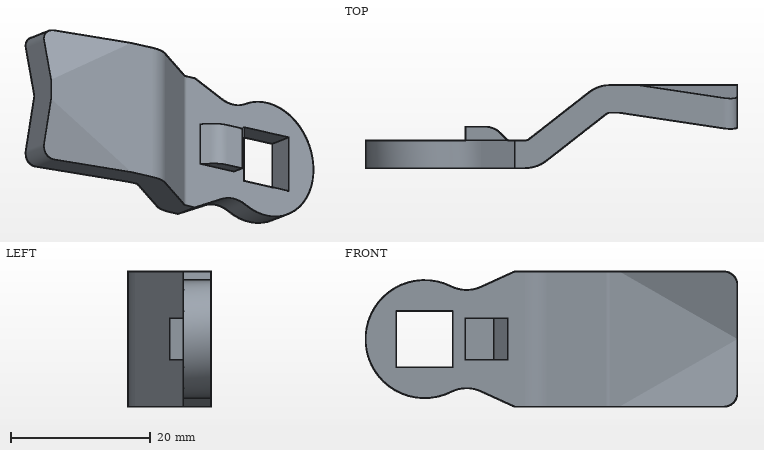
import cadquery as cq
import math

length = 53.5
width = 19.5
depth = 12.0
thickness = 4.0

head_radius = 8.5
neck_radius = 5.0
neck_start_angle = 26.6
neck_end_angle = 24.5
corner_radius = 2.0

bend_angle = 38.0
bend_start = 24.65
inner_bend_radius = 0.95

hole_side = 8.1

tab_start = 14.4
tab_width = 6.0
tab_depth = 2.0
tab_flat_length = 4.05
tab_ramp_length = 2.05
bump_nose_radius = 3.0

fold_start = 36.5
fold_slope = 0.15
back_fold_shift = 2.5

half_width = width / 2


def make_profile():
    """Cross-section of the bent strip, extruded over the full width."""
    rise = depth - thickness
    bend_end = bend_start + rise / math.tan(math.radians(bend_angle))
    back_shift = thickness * math.tan(math.radians(bend_angle / 2))
    outer_bend_radius = inner_bend_radius + thickness
    strip = (
        cq.Workplane("XY")
        .moveTo(0, 0)
        .lineTo(bend_start, 0)
        .lineTo(bend_end, rise)
        .lineTo(length, rise)
        .lineTo(length, depth)
        .lineTo(bend_end - back_shift, depth)
        .lineTo(bend_start - back_shift, thickness)
        .lineTo(0, thickness)
        .close()
        .extrude(half_width, both=True)
    )

    def bend_edge(x, y):
        return cq.selectors.NearestToPointSelector((x, y, 0))

    outer_edges = strip.edges("|Z").edges(bend_edge(bend_start, 0)).add(
        strip.edges("|Z").edges(bend_edge(bend_end - back_shift, depth))
    )
    strip = outer_edges.fillet(outer_bend_radius)
    inner_edges = strip.edges("|Z").edges(bend_edge(bend_end, rise)).add(
        strip.edges("|Z").edges(bend_edge(bend_start - back_shift, thickness))
    )
    return inner_edges.fillet(inner_bend_radius)


def make_outline():
    """Round head, concave neck and rectangular blade, extruded through the depth."""
    start = math.radians(neck_start_angle)
    end = math.radians(neck_end_angle)
    neck_x = head_radius + (head_radius + neck_radius) * math.sin(start)
    neck_z = (head_radius + neck_radius) * math.cos(start)
    neck_start = (neck_x - neck_radius * math.sin(start), neck_z - neck_radius * math.cos(start))
    neck_end = (neck_x + neck_radius * math.sin(end), neck_z - neck_radius * math.cos(end))
    shoulder_x = neck_end[0] + (half_width - neck_end[1]) / math.tan(end)

    def mirrored(point):
        return (point[0], -point[1])

    outline = (
        cq.Workplane("XZ", origin=(0, depth, 0))
        .moveTo(*neck_start)
        .threePointArc((neck_x, neck_z - neck_radius), neck_end)
        .lineTo(shoulder_x, half_width)
        .lineTo(length, half_width)
        .lineTo(length, -half_width)
        .lineTo(shoulder_x, -half_width)
        .lineTo(*mirrored(neck_end))
        .threePointArc((neck_x, neck_radius - neck_z), mirrored(neck_start))
        .threePointArc((0, 0), neck_start)
        .close()
        .extrude(depth)
    )
    return outline.edges("|Y and >X").fillet(corner_radius)


def tetrahedron(a, b, c, d):
    """Solid with four triangular faces between the given corners."""
    faces = [
        cq.Face.makeFromWires(cq.Wire.makePolygon(corners, close=True))
        for corners in ([a, b, c], [a, b, d], [b, c, d], [a, c, d])
    ]
    return cq.Solid.makeSolid(cq.Shell.makeShell(faces))


def make_fold_wedges():
    """Pair of tetrahedra between the flat blade face and its folded corners."""
    fold_length = length - fold_start
    base_y = depth - thickness
    wedge = tetrahedron(
        cq.Vector(fold_start, base_y, half_width),
        cq.Vector(length, base_y, half_width),
        cq.Vector(length, base_y, 0),
        cq.Vector(length, base_y - fold_slope * fold_length, half_width),
    )
    return cq.Workplane(wedge).union(cq.Workplane(wedge.mirror("XY")))


def make_pocket():
    """Pressed-in pocket: flat floor with a ramp back up to the front face."""
    floor_end = tab_start + tab_flat_length
    return (
        cq.Workplane("XY")
        .moveTo(tab_start, 0)
        .lineTo(floor_end + tab_ramp_length, 0)
        .lineTo(floor_end, tab_depth)
        .lineTo(tab_start, tab_depth)
        .close()
        .extrude(tab_width / 2, both=True)
    )


def make_bump():
    """Pushed-out metal: the pocket shape on the back face, with a rounded nose."""
    bump = make_pocket().translate((0, thickness, 0))
    return bump.edges("|Z").edges(">Y").edges(">X").fillet(bump_nose_radius)


wedges = make_fold_wedges()
back_wedges = wedges.translate((back_fold_shift, thickness, 0))
drive_hole = cq.Workplane("XZ", origin=(head_radius, 0, 0)).rect(hole_side, hole_side).extrude(-thickness)

body = make_profile().union(wedges).cut(back_wedges)
body = body.intersect(make_outline())
result = body.union(make_bump()).cut(make_pocket()).cut(drive_hole)